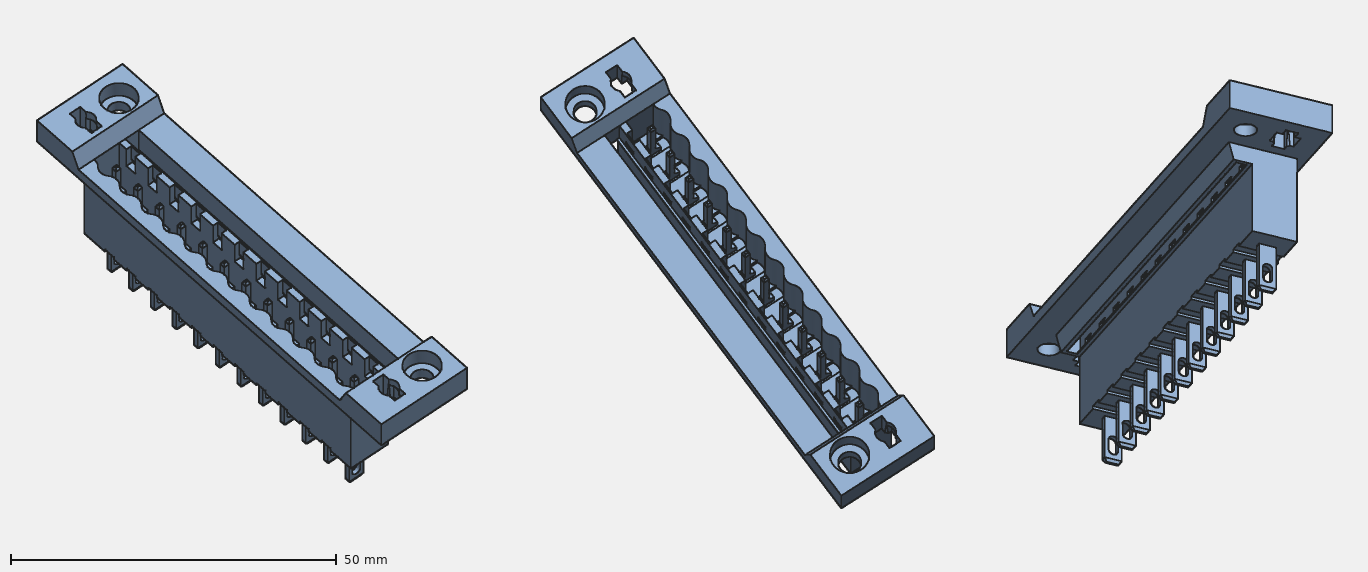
import cadquery as cq
import math


length = 80.9
flange_depth = 17.4
ear_height = 5.0
ear_top_length = 8.3
ear_base_length = 9.8
rail_drop = 3.0

body_half_length = 31.3
body_front = 1.7
body_back = 9.3
body_bottom = -20.0
ledge_bottom = -7.9
ledge_back_top = 13.3
ledge_back_bottom = 12.45

pin_count = 12
pin_row_length = 55.9
pin_y = 5.3
pin_width = 0.9
blade_depth = 2.9
pin_bottom = -28.0
point_height = 0.6
point_inset_x = 0.25
point_inset_y = 0.4
eye_width = 1.6
eye_height = 3.2
eye_z = -24.9
tip_depth = 1.0
tip_top = -3.9
tip_inset = 0.25

pocket_floor = -13.75
pad_height = 0.8
wave_y = 2.7
wave_amplitude = 0.5
wall_front = 8.25
wall_back = 9.5
slot_width = 2.0
slot_floor = -6.95
web_thickness = 0.25
web_bottom = -6.15
channel_width = 2.1

opening_back = 12.2
lip_front = 9.95
lip_back = 11.7
lip_thickness = 0.25

notch_width = 2.0
notch_depth = 0.5

screw_inset = 4.85
screw_y = 12.45
screw_diameter = 3.55
counterbore_diameter = 6.1
counterbore_depth = 3.0
window_y = 5.75
window_length = 5.1
window_width = 2.1
window_bulge_diameter = 3.2
window_bulge_lean = 0.5
undercut_length = 2.6
undercut_width = 4.05
undercut_top = -1.5

half_length = length / 2
rail_top = -rail_drop
pin_pitch = pin_row_length / (pin_count - 1)
pocket_half_length = half_length - ear_base_length
wave_front = wave_y - wave_amplitude
wave_back = wave_y + wave_amplitude
crest_radius = ((pin_pitch / 4) ** 2 + wave_amplitude ** 2) / (2 * wave_amplitude)
crest_mid_y = wave_back - crest_radius + math.sqrt(crest_radius ** 2 - (pin_pitch / 8) ** 2)
pad_top = pocket_floor + pad_height
shoulder_height = (blade_depth - tip_depth) / 2
pin_positions = [(i - (pin_count - 1) / 2) * pin_pitch for i in range(pin_count)]
notch_positions = [x + pin_pitch / 2 for x in pin_positions[:-1]]


def box(x_min, x_max, y_min, y_max, z_min, z_max):
    size = (x_max - x_min, y_max - y_min, z_max - z_min)
    return cq.Workplane("XY").box(*size, centered=False).translate((x_min, y_min, z_min))


def bar_along_x(points, half_width):
    """Extrude a (Y, Z) outline to both sides of X = 0."""
    return cq.Workplane("YZ").polyline(points).close().extrude(half_width, both=True)


def make_flange():
    outline = [
        (-half_length, -ear_height),
        (half_length, -ear_height),
        (half_length, 0),
        (half_length - ear_top_length, 0),
        (half_length - ear_base_length, rail_top),
        (-half_length + ear_base_length, rail_top),
        (-half_length + ear_top_length, 0),
        (-half_length, 0),
    ]
    return cq.Workplane("XZ").polyline(outline).close().extrude(-flange_depth)


def make_body():
    outline = [
        (body_front, -ear_height),
        (body_front, body_bottom),
        (body_back, body_bottom),
        (body_back, ledge_bottom),
        (ledge_back_bottom, ledge_bottom),
        (ledge_back_top, -ear_height),
    ]
    return bar_along_x(outline, body_half_length)


def make_pocket():
    """Pocket whose front side is a wave of arcs bulging forward at every pin."""
    quarter = pin_pitch / 4
    wave_half_length = pin_count * pin_pitch / 2
    pocket = (
        cq.Workplane("XY", origin=(0, 0, pocket_floor))
        .moveTo(-pocket_half_length, wall_front)
        .lineTo(-pocket_half_length, wave_back)
        .lineTo(-wave_half_length, wave_back)
    )
    for x in pin_positions:
        pocket = (
            pocket
            .threePointArc((x - 1.5 * quarter, crest_mid_y), (x - quarter, wave_y))
            .threePointArc((x, wave_front), (x + quarter, wave_y))
            .threePointArc((x + 1.5 * quarter, crest_mid_y), (x + 2 * quarter, wave_back))
        )
    return (
        pocket
        .lineTo(pocket_half_length, wave_back)
        .lineTo(pocket_half_length, wall_front)
        .close()
        .extrude(rail_top - pocket_floor)
    )


def make_opening():
    """Slot behind the slotted wall, open through the ledge between two lips."""
    lip_top = ledge_bottom + lip_thickness
    half = pocket_half_length
    upper = box(-half, half, wall_back, opening_back, lip_top, rail_top)
    lower = box(-half, half, lip_front, lip_back, ledge_bottom, lip_top)
    return upper.union(lower)


def make_wall_slot(x):
    """Slot in the pocket's rear wall, closed behind by a thin web that stops short of the slot floor."""
    half = slot_width / 2
    web_front = wall_back - web_thickness
    slot = box(x - half, x + half, wall_front, web_front, slot_floor, rail_top)
    gap_below_web = box(x - half, x + half, web_front, wall_back, slot_floor, web_bottom)
    return slot.union(gap_below_web)


def make_floor_pads():
    """Raised pocket floor, parted by a channel around every pin."""
    pads = box(-pocket_half_length, pocket_half_length, wave_front, wall_front, pocket_floor, pad_top)
    half = channel_width / 2
    for x in pin_positions:
        pads = pads.cut(box(x - half, x + half, wave_front, wall_front, pocket_floor, pad_top))
    return pads


def make_notch(x):
    half = notch_width / 2
    return box(x - half, x + half, body_front, body_back, body_bottom, body_bottom + notch_depth)


def make_ear_holes(side):
    """Counterbored screw hole, and a window with a leaning round bore and an undercut below."""
    x = side * (half_length - screw_inset)
    screw_axis = cq.Workplane("XY").center(x, screw_y)
    screw = screw_axis.circle(screw_diameter / 2).extrude(-ear_height)
    counterbore = screw_axis.circle(counterbore_diameter / 2).extrude(-counterbore_depth)
    window = cq.Workplane("XY").center(x, window_y).rect(window_length, window_width).extrude(-ear_height)
    bulge = (
        cq.Workplane("XY")
        .center(x, window_y)
        .circle(window_bulge_diameter / 2)
        .workplane(offset=-ear_height)
        .center(-side * window_bulge_lean, 0)
        .circle(window_bulge_diameter / 2)
        .loft(ruled=True)
    )
    half_undercut = undercut_length / 2
    undercut = box(
        x - half_undercut,
        x + half_undercut,
        window_y - undercut_width / 2,
        window_y + undercut_width / 2,
        -ear_height,
        undercut_top,
    )
    return screw.union(counterbore).union(window).union(bulge).union(undercut)


def make_frustum(z_base, base_size, z_end, end_size):
    return (
        cq.Workplane("XY", origin=(0, 0, z_base))
        .rect(*base_size)
        .workplane(offset=z_end - z_base)
        .rect(*end_size)
        .loft(ruled=True)
    )


def make_pin():
    """Flat blade with a solder eye below and a slim pointed tip above, centred on X = Y = 0."""
    shoulder_z = pad_top
    tip_base = shoulder_z + shoulder_height
    point_base = pin_bottom + point_height
    blade_size = (pin_width, blade_depth)
    tip_size = (pin_width, tip_depth)
    point_size = (pin_width - 2 * point_inset_x, blade_depth - 2 * point_inset_y)
    tip_end_size = (pin_width - 2 * tip_inset, tip_depth - 2 * tip_inset)
    tip_taper_base = tip_top - point_height

    point = make_frustum(point_base, blade_size, pin_bottom, point_size)
    blade = make_frustum(point_base, blade_size, shoulder_z, blade_size)
    shoulder = make_frustum(shoulder_z, blade_size, tip_base, tip_size)
    tip = make_frustum(tip_base, tip_size, tip_taper_base, tip_size)
    tip_end = make_frustum(tip_taper_base, tip_size, tip_top, tip_end_size)
    eye = (
        cq.Workplane("YZ")
        .center(0, eye_z)
        .slot2D(eye_height, eye_width, 90)
        .extrude(pin_width, both=True)
    )
    return blade.union(point).union(shoulder).union(tip).union(tip_end).cut(eye)


result = make_flange().union(make_body())
result = result.cut(make_pocket()).cut(make_opening()).union(make_floor_pads())

for side in (-1, 1):
    result = result.cut(make_ear_holes(side))

for x in notch_positions:
    result = result.cut(make_notch(x))

pin = make_pin()
for x in pin_positions:
    result = result.cut(make_wall_slot(x))
    result = result.union(pin.translate((x, pin_y, 0)))